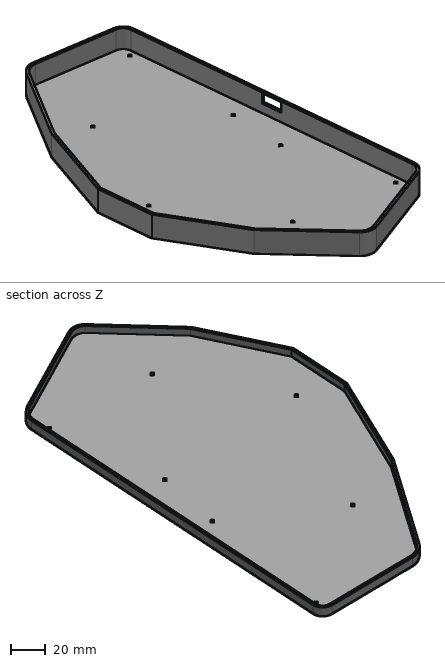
import cadquery as cq
import math

length = 257.3
depth = 136.0
height = 17.0
wall = 1.8
floor = 2.0
side_corner_radius = 10.5
back_corner_radius = 9.0

front_half_width = 20.0
knee_half_width = 75.6
knee_rise = 25.5
side_corner_rise = 66.6
side_lean = math.radians(14.7)

window_width = 14.5
window_height = 7.5
window_sill = 9.0

hole_diameter = 2.0
back_hole_y = 62.0
middle_hole_x = 74.5
middle_hole_y = -6.0
hole_points = [
    (-102.5, back_hole_y),
    (96.5, back_hole_y),
    (-middle_hole_x, middle_hole_y),
    (middle_hole_x, middle_hole_y),
    (-18.8, 54.3),
    (21.4, 48.4),
    (0, -46.3),
]

back_y = depth / 2
front_y = -depth / 2
knee_y = front_y + knee_rise
side_y = front_y + side_corner_rise


def side_corner_half_width():
    """Sharp side corner position that leaves the rounded corner at the overall length."""
    center_x = length / 2 - side_corner_radius
    rise = side_y - knee_y
    corner_x = length / 2
    for _ in range(30):
        edge_angle = math.atan2(rise, corner_x - knee_half_width)
        normal_x = math.cos(side_lean) + math.sin(edge_angle)
        normal_y = math.sin(side_lean) - math.cos(edge_angle)
        reach = 2 * side_corner_radius / (normal_x ** 2 + normal_y ** 2)
        corner_x = center_x + reach * normal_x
    return corner_x


side_x = side_corner_half_width()
back_x = side_x - (back_y - side_y) * math.tan(side_lean)

right_points = [
    (front_half_width, front_y),
    (knee_half_width, knee_y),
    (side_x, side_y),
    (back_x, back_y),
]
left_points = [(-x, y) for x, y in reversed(right_points)]


def rounded_prism(inset, bottom):
    """Outline moved inward by inset, raised from bottom to the rim, with four round corners."""
    outline = cq.Workplane("XY").workplane(offset=bottom).polyline(right_points + left_points).close()
    if inset:
        outline = outline.offset2D(-inset, "intersection")
    prism = outline.extrude(height - bottom)
    side_edges = prism.edges("|Z").filter(lambda edge: knee_y / 2 < edge.Center().y < back_y / 2)
    prism = side_edges.fillet(side_corner_radius - inset)
    back_edges = prism.edges("|Z").filter(lambda edge: edge.Center().y > back_y - 2 * wall)
    return back_edges.fillet(back_corner_radius - inset)


tray = rounded_prism(0, 0).cut(rounded_prism(wall, floor))

wall_clearance = 2 * wall
window = cq.Workplane("XY").box(window_width, 2 * wall_clearance, window_height, centered=(True, True, False))
tray = tray.cut(window.translate((0, back_y, window_sill)))

holes = cq.Workplane("XY").pushPoints(hole_points).circle(hole_diameter / 2).extrude(floor)
result = tray.cut(holes)